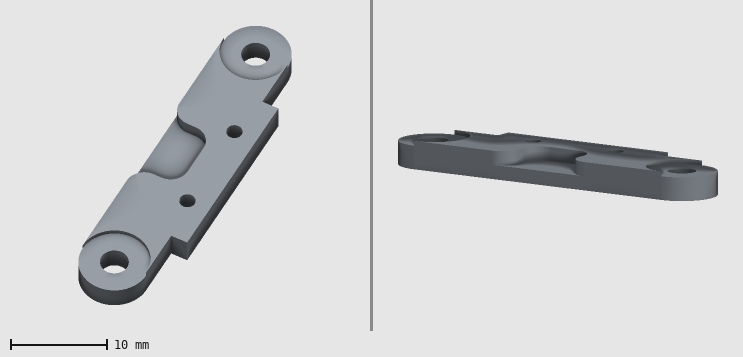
import cadquery as cq

length = 38.5
bar_width = 7.5
total_width = 9.4
height = 3.0

end_radius = bar_width / 2
end_center_y = length / 2 - end_radius
seat_depth = 0.5
end_hole_diameter = 3.0

flange_length = 20.02
pin_hole_diameter = 1.7
pin_hole_spacing = 10.3
pin_hole_inset = 6.8

pocket_reach = 5.0
pocket_length = 7.5
pocket_depth = 1.5
pocket_radius = 2.0

edge_x = -bar_width / 2


def make_body():
    bar = cq.Workplane("XY").slot2D(length, bar_width, 90).extrude(height)
    flange = (
        cq.Workplane("XY")
        .rect(total_width, flange_length)
        .extrude(height)
        .translate((edge_x + total_width / 2, 0, 0))
    )
    return bar.union(flange)


def make_end_seats():
    """Full-width discs that lower the top of both rounded ends."""
    return (
        cq.Workplane("XY", origin=(0, 0, height - seat_depth))
        .pushPoints([(0, -end_center_y), (0, end_center_y)])
        .circle(end_radius)
        .extrude(seat_depth)
    )


def make_holes(x, spacing, diameter):
    """A pair of through holes, one on each side of the middle."""
    return (
        cq.Workplane("XY")
        .pushPoints([(x, -spacing / 2), (x, spacing / 2)])
        .circle(diameter / 2)
        .extrude(height)
    )


def make_pocket():
    """Each corner is a quarter arc; the mouth arcs run tangent into the edge."""
    half = pocket_length / 2
    mouth_half = half + pocket_radius
    mouth_x = edge_x + pocket_radius
    inner_x = edge_x + pocket_reach
    corner_x = inner_x - pocket_radius
    straight_half = half - pocket_radius
    return (
        cq.Workplane("XY", origin=(0, 0, height - pocket_depth))
        .moveTo(edge_x, -mouth_half)
        .radiusArc((mouth_x, -half), pocket_radius)
        .lineTo(corner_x, -half)
        .radiusArc((inner_x, -straight_half), -pocket_radius)
        .lineTo(inner_x, straight_half)
        .radiusArc((corner_x, half), -pocket_radius)
        .lineTo(mouth_x, half)
        .radiusArc((edge_x, mouth_half), pocket_radius)
        .close()
        .extrude(pocket_depth)
    )


result = (
    make_body()
    .cut(make_end_seats())
    .cut(make_holes(0, 2 * end_center_y, end_hole_diameter))
    .cut(make_holes(edge_x + pin_hole_inset, pin_hole_spacing, pin_hole_diameter))
    .cut(make_pocket())
)